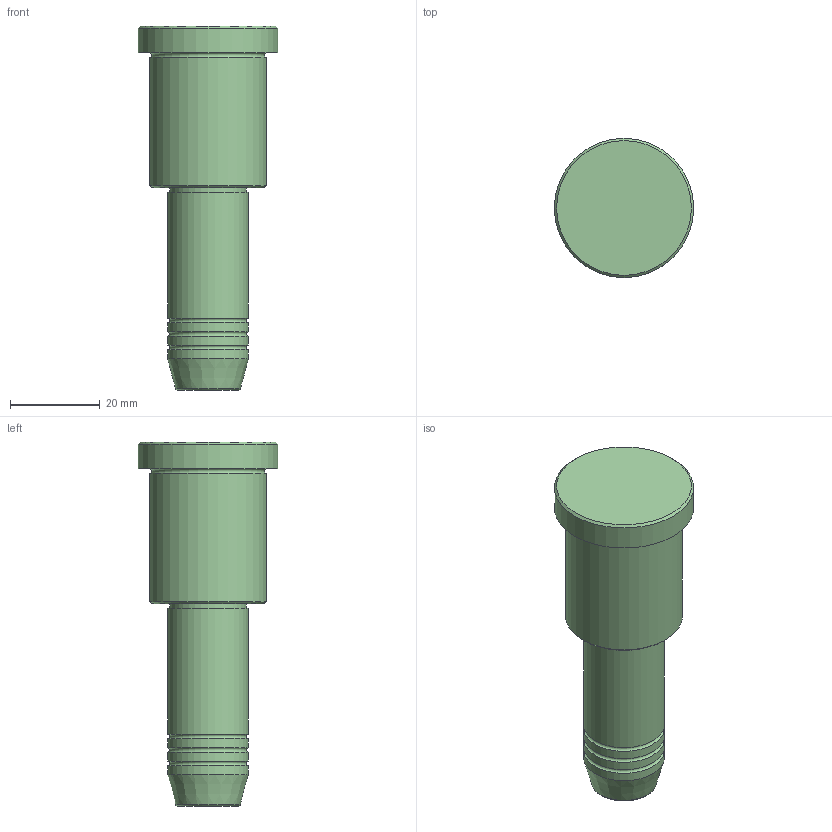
import cadquery as cq
import math

total_length = 81.0
head_height = 6.0
body_end_depth = 36.0
tip_length = 7.0

head_radius = 15.5
body_radius = 13.0
shank_radius = 9.0

edge_chamfer = 0.5
tip_fillet = 0.5
tip_taper_angle = 15.0

neck_length = 1.0
neck_depth = 0.5

groove_radius = 0.5
groove_count = 3
groove_pitch = 3.0
lowest_groove_gap = 2.5

head_underside_z = total_length - head_height
body_bottom_z = total_length - body_end_depth
tip_radius = shank_radius - tip_length * math.tan(math.radians(tip_taper_angle))


def cylinder(radius, bottom_z, top_z):
    return cq.Workplane("XY").workplane(offset=bottom_z).circle(radius).extrude(top_z - bottom_z)


def make_head():
    head = cylinder(head_radius, head_underside_z, total_length)
    return head.faces(">Z").edges().chamfer(edge_chamfer)


def make_body():
    body = cylinder(body_radius, body_bottom_z, head_underside_z)
    return body.faces("<Z").edges().chamfer(edge_chamfer)


def make_shank():
    neck_radius = shank_radius - neck_depth
    neck_bottom_z = body_bottom_z - neck_length
    profile = [
        (0, 0),
        (tip_radius, 0),
        (shank_radius, tip_length),
        (shank_radius, neck_bottom_z),
        (neck_radius, neck_bottom_z),
        (neck_radius, body_bottom_z),
        (0, body_bottom_z),
    ]
    shank = cq.Workplane("XZ").polyline(profile).close().revolve(360, (0, 0), (0, 1))
    return shank.faces("<Z").edges().fillet(tip_fillet)


def groove_cutter(surface_radius, center_z):
    """Ring of circular section, centred on a cylinder's surface, that cuts a half-round groove."""
    section = cq.Workplane("XZ").center(surface_radius, center_z).circle(groove_radius)
    return section.revolve(360, (-surface_radius, 0), (-surface_radius, 1))


body = make_body().cut(groove_cutter(body_radius, head_underside_z - groove_radius))

shank = make_shank()
for index in range(groove_count):
    groove_z = tip_length + lowest_groove_gap + index * groove_pitch
    shank = shank.cut(groove_cutter(shank_radius, groove_z))

result = make_head().union(body).union(shank)